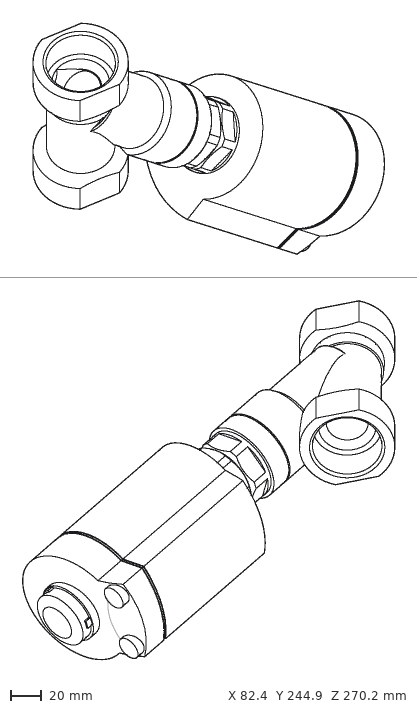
import cadquery as cq
import math

pipe_half_length = 60.0
pipe_radius = 22.2
nut_radius = 30.8
nut_half_flats = 27.3
nut_height = 23.0
nut_cone_height = 4.5
collar_depth = 27.0
collar_height = 9.5
collar_top_radius = 24.0
collar_bottom_radius = 23.5

thread_radius = 22.5
thread_depth = 22.5
mouth_radius = 24.3
mouth_depth = 1.5
bore_radius = 37.0 / 2
taper_depth = 4.3
taper_radius = 13.5
seat_radius = 16.2
seat_station = 1.5

branch_tilt = 42.0
branch_height = 23.2

branch_start = 4.3
socket_start = 57.5
socket_shoulder = 61.0
bonnet_start = 89.5
hex_start = 104.8
upper_flats_start = 107.8
hex_waist = 121.5
lower_flats_end = 135.3
housing_start = 138.0
housing_rim = 141.8
housing_end = 243.5
cap_start = 245.0
cap_rim = 270.7
foot_end = 270.0

branch_radius = 24.0
branch_edge = 1.0
socket_radius = 27.5
joint_chamfer = 0.5
hex_round_radius = 25.0
hex_half_flats = 23.0
waist_radius = 22.2
waist_half_height = 2.5

actuator_radius = 41.2
box_half_width = 29.7
box_corner = 47.3
box_reach = 53.8
seam_inset = 0.5
cap_slope = 4.8
box_heel_offset = 30.3
box_heel_slope = 16.0
envelope_radius = 108.0

foot_radius = 16.0 / 2
foot_spacing = 41.3
foot_offset = 41.0
foot_length = 10.8

flange_radius = 21.3
flange_end = 276.5
knob_radius = 19.5
knob_end = 284.7
knob_face_radius = 12.2
knob_face_end = 287.7
tab_count = 3
tab_width = 5.7
tab_reach = 20.5
tab_end = 281.0

tilt = math.radians(branch_tilt)
branch_plane = cq.Plane(
    origin=(0, 0, branch_height),
    xDir=(1, 0, 0),
    normal=(0, math.sin(tilt), -math.cos(tilt)),
)
cone_slope = (housing_rim - housing_start) / (actuator_radius - hex_round_radius)


def turned(points):
    """Solid of revolution about Z from (radius, height) points."""
    return cq.Workplane("XZ").polyline(points).close().revolve(360, (0, 0), (0, 1))


def on_branch(shape):
    """Move a shape built along +Z onto the branch axis."""
    return cq.Workplane(shape.val().moved(cq.Location(branch_plane)))


def port_nut():
    """Top end nut: a disc with two flats and a conical underside."""
    top = pipe_half_length
    nut = turned([
        (0, top),
        (nut_radius, top),
        (nut_radius, top - nut_height),
        (pipe_radius, top - nut_height - nut_cone_height),
        (0, top - nut_height - nut_cone_height),
    ])
    flats = cq.Workplane("XY").box(2 * nut_half_flats, 4 * nut_radius, 4 * top)
    return nut.intersect(flats)


def port_bore():
    """Top port: chamfered thread bore with a tapered floor."""
    top = pipe_half_length
    floor = top - thread_depth
    return turned([
        (0, top),
        (mouth_radius, top),
        (thread_radius, top - mouth_depth),
        (thread_radius, floor),
        (bore_radius, floor),
        (taper_radius, floor - taper_depth),
        (0, floor - taper_depth),
    ])


def at_both_ends(shape):
    return shape.union(shape.mirror("XY"))


def seat_passage():
    """Blind hole along the branch axis, kept inside the width of the port bore."""
    passage = cq.Workplane("XY").workplane(offset=seat_station).circle(seat_radius).extrude(-2 * bore_radius)
    well = cq.Workplane("XY").circle(bore_radius).extrude(pipe_half_length - thread_depth)
    return on_branch(passage).intersect(well)


def make_valve_body():
    collar_top = pipe_half_length - collar_depth
    collar_bottom = collar_top - collar_height
    pipe = turned([
        (0, collar_top),
        (collar_top_radius, collar_top),
        (collar_bottom_radius, collar_bottom),
        (pipe_radius, collar_bottom),
        (pipe_radius, -collar_top),
        (0, -collar_top),
    ])
    branch = turned([
        (0, branch_start),
        (branch_radius - branch_edge, branch_start),
        (branch_radius, branch_start + branch_edge),
        (branch_radius, socket_start),
        (socket_radius, socket_shoulder),
        (socket_radius, bonnet_start - joint_chamfer),
        (socket_radius - joint_chamfer, bonnet_start),
        (0, bonnet_start),
    ])
    body = pipe.union(at_both_ends(port_nut())).union(on_branch(branch))
    return body.cut(at_both_ends(port_bore())).cut(seat_passage())


def make_bonnet():
    """Round sleeve followed by two hexagons separated by a V waist."""
    bonnet = turned([
        (0, bonnet_start),
        (socket_radius - joint_chamfer, bonnet_start),
        (socket_radius, bonnet_start + joint_chamfer),
        (socket_radius, hex_start),
        (hex_round_radius, hex_start),
        (hex_round_radius, hex_waist - waist_half_height),
        (waist_radius, hex_waist),
        (hex_round_radius, hex_waist + waist_half_height),
        (hex_round_radius, housing_start),
        (0, housing_start),
    ])
    flats_height = lower_flats_end - upper_flats_start
    hexagon = cq.Workplane("XY").polygon(6, 2 * hex_half_flats, circumscribed=True)
    hexagon = hexagon.extrude(flats_height)
    sleeve = cq.Workplane("XY").circle(2 * hex_round_radius).extrude(flats_height)
    flats = sleeve.cut(hexagon).translate((0, 0, upper_flats_start))
    return on_branch(bonnet.cut(flats))


def actuator_prism(start, end, inset=0.0):
    """Round barrel with a crowned box along its +Y side."""
    plane = cq.Workplane("XY").workplane(offset=start)
    half_width = box_half_width - inset
    barrel = plane.circle(actuator_radius - inset).extrude(end - start)
    box = (
        plane.moveTo(-half_width, 0)
        .lineTo(-half_width, box_corner - inset)
        .threePointArc((0, box_reach - inset), (half_width, box_corner - inset))
        .lineTo(half_width, 0)
        .close()
        .extrude(end - start)
    )
    return barrel.union(box)


def make_housing():
    prism = actuator_prism(housing_start, housing_end)
    envelope = turned([
        (0, housing_start),
        (hex_round_radius, housing_start),
        (envelope_radius, housing_start + cone_slope * (envelope_radius - hex_round_radius)),
        (envelope_radius, housing_end),
        (0, housing_end),
    ])
    return on_branch(prism.intersect(envelope))


def cap_envelope():
    """Shallow dome whose axis leans away from the box side."""
    drop = math.tan(math.radians(cap_slope))
    apex = cap_rim + actuator_radius * drop
    dome = turned([
        (0, 0),
        (envelope_radius, 0),
        (envelope_radius, apex - envelope_radius * drop),
        (0, apex),
    ])
    return dome.rotate((0, 0, apex), (1, 0, apex), -cap_slope)


def box_heel():
    """Wedge that trims the end of the box more steeply than the dome."""
    lean = math.tan(math.radians(box_heel_slope))
    apex = cap_rim + actuator_radius * math.tan(math.radians(cap_slope))
    start = apex - box_heel_offset * math.tan(math.radians(2 * cap_slope))
    end_offset = 2 * box_reach
    return (
        cq.Workplane("YZ")
        .polyline([
            (box_heel_offset, start),
            (end_offset, start - lean * (end_offset - box_heel_offset)),
            (end_offset, start),
        ])
        .close()
        .extrude(2 * box_half_width, both=True)
    )


def make_cap():
    seam = actuator_prism(housing_end, cap_start, seam_inset)
    cap = actuator_prism(cap_start, flange_end)
    cap = cap.intersect(cap_envelope()).cut(box_heel()).union(seam)
    for side in (-1, 1):
        foot = cq.Workplane("XY").workplane(offset=foot_end).circle(foot_radius).extrude(-foot_length)
        cap = cap.union(foot.translate((side * foot_spacing / 2, foot_offset, 0)))
    return cap


def make_indicator(cap):
    knob = turned([
        (0, cap_start),
        (flange_radius, cap_start),
        (flange_radius, flange_end),
        (knob_radius, flange_end),
        (knob_radius, knob_end),
        (knob_face_radius, knob_face_end),
        (0, knob_face_end),
    ])
    for index in range(tab_count):
        tab = cq.Workplane("XY").box(tab_width, tab_reach, tab_end - cap_start, centered=(True, False, False))
        tab = tab.translate((0, 0, cap_start))
        knob = knob.union(tab.rotate((0, 0, 0), (0, 0, 1), index * 360 / tab_count))
    return on_branch(knob.cut(cap))


valve_body = make_valve_body()
bonnet = make_bonnet()
housing = make_housing()
cap = make_cap()
indicator = make_indicator(cap)

result = cq.Compound.makeCompound([
    valve_body.val(), bonnet.val(), housing.val(), on_branch(cap).val(), indicator.val(),
])